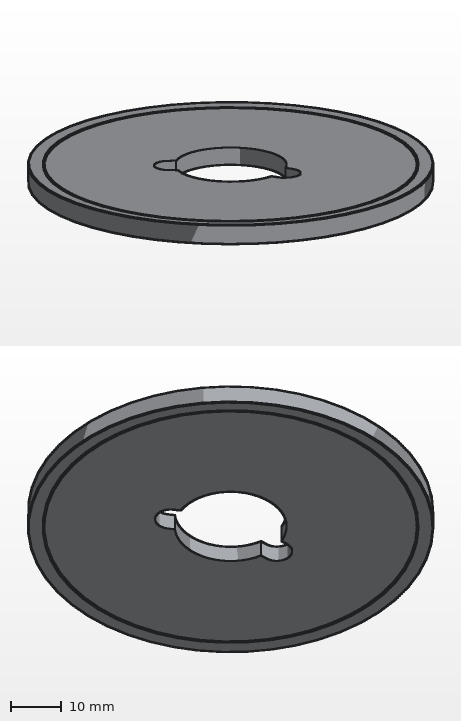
import cadquery as cq

outer_diameter = 80.0
thickness = 4.1
edge_chamfer = 0.2

flat_diameter = 72.3
flat_thickness = 3.6

seat_diameter = 78.8
tyre_inner_diameter = 74.2
groove_width = 0.3
groove_depth = 0.1
tyre_wall = (outer_diameter - seat_diameter) / 2

bore_diameter = 22.1
keyway_width = 6.1
keyway_end_radius = 12.1
keyway_angles = (0, 210)

outer_radius = outer_diameter / 2
flat_radius = flat_diameter / 2
seat_radius = seat_diameter / 2
tyre_inner_radius = tyre_inner_diameter / 2
shoulder_radius = tyre_inner_radius - groove_width
face_edge_radius = outer_radius - edge_chamfer
flare_slope = (thickness - flat_thickness) / 2 / (face_edge_radius - flat_radius)


def face_height(radius):
    """Height of the flared side face above the middle plane."""
    return flat_thickness / 2 + flare_slope * (radius - flat_radius)


def seat_height(radius):
    """Height of the recessed seat that lies under the tyre wall."""
    return face_height(radius) - tyre_wall


def revolve_symmetric(upper_outline):
    """Revolve an outline of (radius, height) points mirrored about the middle plane."""
    lower_outline = [(radius, -height) for radius, height in reversed(upper_outline)]
    return (
        cq.Workplane("XZ", origin=(0, 0, thickness / 2))
        .polyline(upper_outline + lower_outline)
        .close()
        .revolve(360, (0, 0, 0), (0, 1, 0))
    )


def make_keyway(angle):
    """Round-ended cutter reaching from the axis outwards at the given angle."""
    return (
        cq.Workplane("XY")
        .transformed(rotate=(0, 0, angle))
        .center(keyway_end_radius / 2, 0)
        .slot2D(keyway_end_radius + keyway_width, keyway_width)
        .extrude(thickness)
    )


def make_opening():
    """Cutter for the central bore together with its keyways."""
    opening = cq.Workplane("XY").circle(bore_diameter / 2).extrude(thickness)
    for angle in keyway_angles:
        opening = opening.union(make_keyway(angle))
    return opening


def make_disc():
    """Disc with flared faces, a shallow groove, a stepped seat for the tyre and the keyed opening."""
    blank = revolve_symmetric([
        (0, flat_thickness / 2),
        (flat_radius, flat_thickness / 2),
        (shoulder_radius, face_height(shoulder_radius)),
        (shoulder_radius, face_height(shoulder_radius) - groove_depth),
        (tyre_inner_radius, face_height(tyre_inner_radius) - groove_depth),
        (tyre_inner_radius, seat_height(tyre_inner_radius)),
        (seat_radius, seat_height(seat_radius)),
    ])
    return blank.cut(make_opening())


def make_tyre():
    """U-section tyre that fits over the seat and carries the chamfered outer edges."""
    return revolve_symmetric([
        (seat_radius, seat_height(seat_radius)),
        (tyre_inner_radius, seat_height(tyre_inner_radius)),
        (tyre_inner_radius, face_height(tyre_inner_radius)),
        (face_edge_radius, thickness / 2),
        (outer_radius, thickness / 2 - edge_chamfer),
    ])


disc = make_disc()
tyre = make_tyre()
result = cq.Compound.makeCompound([disc.val(), tyre.val()])